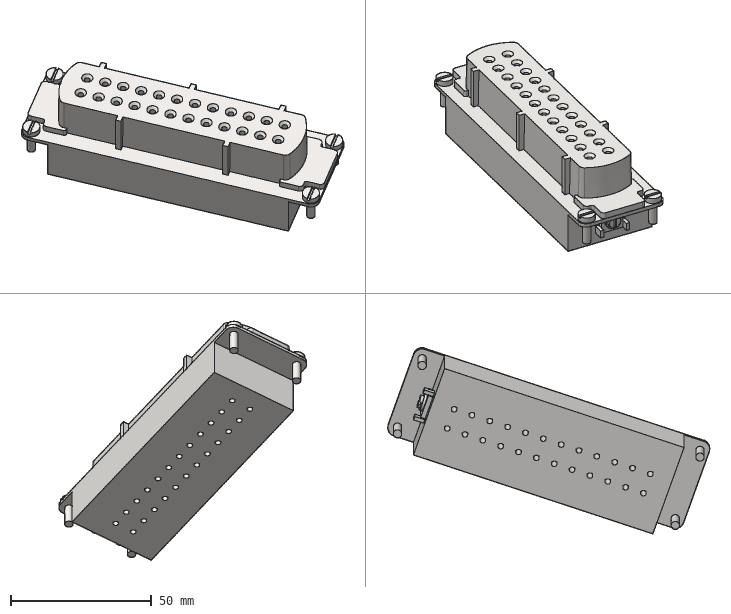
import cadquery as cq
import math

box_length = 89.9
box_width = 34.0
flange_length = 111.0
flange_bottom = 15.2
flange_top = 16.6
flange_corner_radius = 3.1

block_top = 31.5
block_length = 90.5
block_width = 20.6
block_end_radius = 19.2
block_corner_radius = 2.2

block_draft = 1.2
pad_draft = 3.0

outline_thickness = 1.1

rib_width = 2.0
rib_reach = 12.5
back_rib_places = (-33.5, 0, 33.5)
front_rib_places = (-20.0, 20.0)

pad_top = 19.0
pad_outer_x = 55.3
pad_step_x = 48.5
pad_inner_x = 39.8
pad_narrow_width = 17.6
pad_wide_width = 24.0
pad_outer_corner_radius = 1.4
pad_inner_corner_radius = 0.8

contacts_per_row = 12
contact_row_length = 73.7
row_spacing = 7.5
funnel_diameter = 4.0
funnel_depth = 1.0
bore_diameter = 2.0

screw_x = 52.2
screw_y = 13.4
head_diameter = 6.1
head_top = 18.8
shank_diameter = 3.0
shank_bottom = 7.0
head_slot_width = 0.9
head_slot_depth = 0.9

clamp_width = 8.5
clamp_bottom = 4.7
clamp_top = 13.3
clamp_reach = 1.7
washer_diameter = 6.0
washer_reach = 2.7
terminal_screw_diameter = 4.7
terminal_reach = 3.8
terminal_slot_width = 1.0
terminal_slot_depth = 0.7
lug_inner_y = 4.5
lug_outer_y = 5.9
lug_bottom = 4.3
lug_top = 7.2


def box_between(x0, x1, y0, y1, z0, z1):
    """Axis-aligned box given by its limits."""
    return cq.Workplane("XY").box(x1 - x0, y1 - y0, z1 - z0, centered=False).translate((x0, y0, z0))


def drafted_down(slab, depth, draft):
    """Solid that starts at the underside outline of a slab and widens downwards at a draft angle."""
    outline = slab.faces("<Z").val().outerWire()
    return cq.Workplane(
        cq.Solid.extrudeLinear(outline, [], cq.Vector(0, 0, -depth), taper=-draft)
    )


def make_housing():
    box = cq.Workplane("XY").box(box_length, box_width, flange_top, centered=(True, True, False))
    flange = (
        cq.Workplane("XY", origin=(0, 0, flange_bottom))
        .rect(flange_length, box_width)
        .extrude(flange_top - flange_bottom)
        .edges("|Z")
        .fillet(flange_corner_radius)
    )
    return box.union(flange)


def make_block():
    half_width = block_width / 2
    crown_x = block_length / 2
    end_rise = block_end_radius - math.sqrt(block_end_radius**2 - half_width**2)
    corner_x = crown_x - end_rise
    slab = (
        cq.Workplane("XY", origin=(0, 0, block_top))
        .moveTo(-corner_x, -half_width)
        .lineTo(corner_x, -half_width)
        .threePointArc((crown_x, 0), (corner_x, half_width))
        .lineTo(-corner_x, half_width)
        .threePointArc((-crown_x, 0), (-corner_x, -half_width))
        .close()
        .extrude(outline_thickness)
        .edges("|Z")
        .fillet(block_corner_radius)
    )
    return drafted_down(slab, block_top - flange_bottom, block_draft)


def make_rib(x, side):
    return (
        cq.Workplane("XY", origin=(x, side * rib_reach / 2, flange_bottom))
        .rect(rib_width, rib_reach)
        .extrude(block_top - flange_bottom)
    )


def make_pad():
    """T-shaped pad at the -X end, wide where it meets the contact block."""
    half_narrow = pad_narrow_width / 2
    half_wide = pad_wide_width / 2
    corners = (
        (-pad_outer_x, half_narrow, pad_outer_corner_radius),
        (-pad_step_x, half_narrow, pad_inner_corner_radius),
        (-pad_step_x, half_wide, pad_outer_corner_radius),
        (-pad_inner_x, half_wide, pad_inner_corner_radius),
    )
    near_side = [(x, -y) for x, y, radius in corners]
    far_side = [(x, y) for x, y, radius in reversed(corners)]
    slab = cq.Workplane("XY", origin=(0, 0, pad_top)).polyline(near_side + far_side).close()
    slab = slab.extrude(outline_thickness)
    for x, y, radius in corners:
        for side in (-1, 1):
            corner = cq.selectors.NearestToPointSelector((x, side * y, pad_top + outline_thickness / 2))
            slab = slab.edges("|Z").edges(corner).fillet(radius)
    return drafted_down(slab, pad_top - flange_bottom, pad_draft)


def make_screw():
    head = cq.Workplane("XY", origin=(0, 0, flange_bottom)).circle(head_diameter / 2)
    head = head.extrude(head_top - flange_bottom)
    shank = cq.Workplane("XY", origin=(0, 0, shank_bottom)).circle(shank_diameter / 2)
    shank = shank.extrude(head_top - shank_bottom)
    slot = cq.Workplane("XY", origin=(0, 0, head_top - head_slot_depth))
    slot = slot.rect(head_slot_width, head_diameter).extrude(head_slot_depth)
    return head.union(shank).cut(slot)


def make_terminal():
    wall_x = -box_length / 2
    screw_z = (clamp_bottom + clamp_top) / 2
    half_clamp = clamp_width / 2
    terminal = box_between(wall_x - clamp_reach, wall_x, -half_clamp, half_clamp, clamp_bottom, clamp_top)
    for diameter, reach in (
        (washer_diameter, washer_reach),
        (terminal_screw_diameter, terminal_reach),
    ):
        disc = cq.Workplane("YZ", origin=(wall_x, 0, screw_z)).circle(diameter / 2).extrude(-reach)
        terminal = terminal.union(disc)
    slot_floor = wall_x - terminal_reach + terminal_slot_depth
    slot = cq.Workplane("YZ", origin=(slot_floor, 0, screw_z))
    slot = slot.rect(terminal_slot_width, terminal_screw_diameter).extrude(-terminal_slot_depth)
    terminal = terminal.cut(slot)
    for y in (-lug_outer_y, lug_inner_y):
        width = lug_outer_y - lug_inner_y
        terminal = terminal.union(
            box_between(wall_x - terminal_reach, wall_x, y, y + width, lug_bottom, lug_top)
        )
    return terminal


def make_contact_hole():
    """Through bore with a conical lead-in at the block top."""
    return (
        cq.Workplane("XZ")
        .lineTo(bore_diameter / 2, 0)
        .lineTo(bore_diameter / 2, block_top - funnel_depth)
        .lineTo(funnel_diameter / 2, block_top)
        .lineTo(0, block_top)
        .close()
        .revolve(360, (0, 0), (0, 1))
    )


result = make_housing().union(make_block())

for rib_x in back_rib_places:
    result = result.union(make_rib(rib_x, 1))
for rib_x in front_rib_places:
    result = result.union(make_rib(rib_x, -1))

result = result.union(make_pad()).union(make_pad().mirror("YZ"))

for x in (-screw_x, screw_x):
    for y in (-screw_y, screw_y):
        result = result.union(make_screw().translate((x, y, 0)))

result = result.union(make_terminal())

contact_pitch = contact_row_length / (contacts_per_row - 1)
for index in range(contacts_per_row):
    for y in (-row_spacing / 2, row_spacing / 2):
        x = -contact_row_length / 2 + index * contact_pitch
        result = result.cut(make_contact_hole().translate((x, y, 0)))